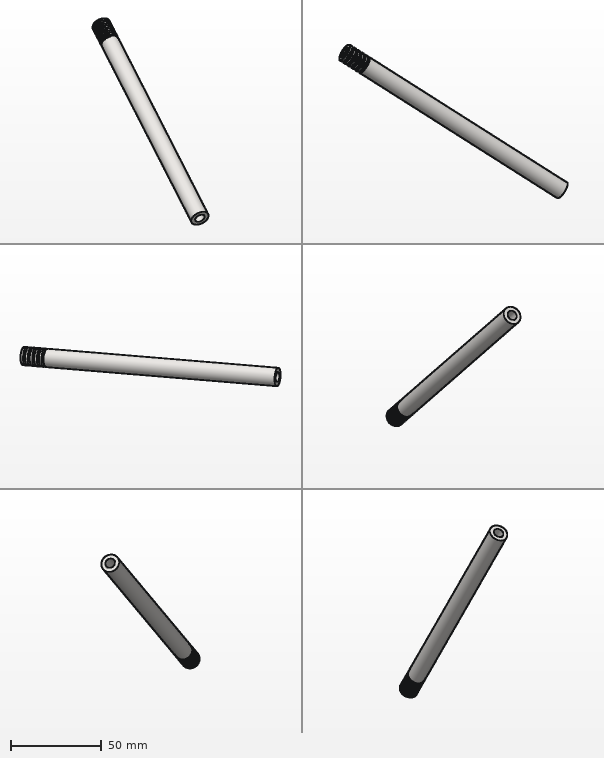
import cadquery as cq

length = 150.0
outer_diameter = 10.4
rim_diameter = 9.8
core_diameter = 6.2
bore_diameter = 5.5

fin_count = 5
fin_pitch = 2.7
fin_width = 1.6
first_fin_offset = 0.6
rim_bevel_run = 0.3
root_taper_run = 0.8
root_taper_rise = 0.8

tip_x = -length / 2
end_x = length / 2
first_fin_x = tip_x + first_fin_offset
barrel_x = first_fin_x + fin_count * fin_pitch
outer_radius = outer_diameter / 2
rim_radius = rim_diameter / 2
core_radius = core_diameter / 2
bore_radius = bore_diameter / 2


def root_points(face_x):
    """Groove floor rising toward the face at the back of the groove."""
    return [
        (face_x - root_taper_run, core_radius),
        (face_x, core_radius + root_taper_rise),
    ]


def rim_points(face_x):
    """Flat face toward the tip, ending in a bevelled rim."""
    return [(face_x, rim_radius), (face_x + rim_bevel_run, outer_radius)]


def tube_profile():
    """Half section of the whole tube, as (x, radius) points."""
    points = [(tip_x, bore_radius), (tip_x, core_radius), (first_fin_x, core_radius)]
    for index in range(fin_count):
        face_x = first_fin_x + index * fin_pitch
        back_x = face_x + fin_width
        points += rim_points(face_x)
        points += [(back_x, outer_radius), (back_x, core_radius)]
        points += root_points(face_x + fin_pitch)
    points += rim_points(barrel_x)
    points += [(end_x, outer_radius), (end_x, bore_radius)]
    return points


result = cq.Workplane("XY").polyline(tube_profile()).close().revolve(360, (0, 0, 0), (1, 0, 0))